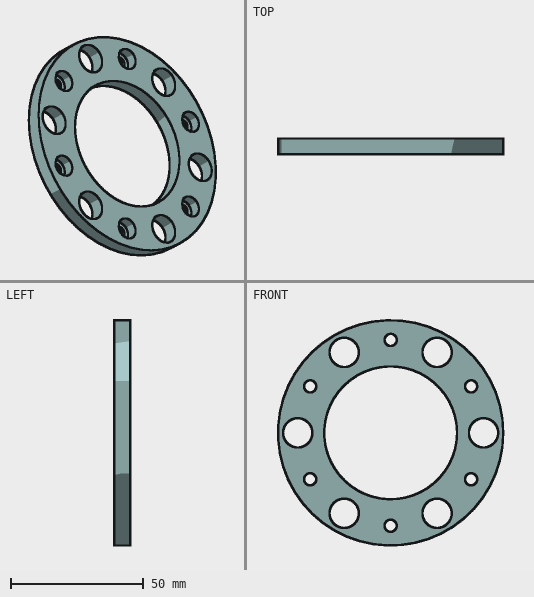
import cadquery as cq

outer_diameter = 85.0
bore_diameter = 50.0
thickness = 6.0

pitch_radius = 35.0
holes_per_set = 6
hole_spacing = 360 / holes_per_set

large_hole_diameter = 11.0

screw_hole_diameter = 4.5
counterbore_diameter = 8.0
seat_thickness = 1.45
counterbore_depth = thickness - seat_thickness


def hole_centers(body, start_angle):
    """Place one evenly spaced hole set on the +Y face."""
    face_plane = body.faces(">Y").workplane(origin=(0, 0, 0))
    return face_plane.polarArray(pitch_radius, start_angle, 360, holes_per_set)


ring = (
    cq.Workplane("XZ")
    .circle(outer_diameter / 2)
    .circle(bore_diameter / 2)
    .extrude(thickness)
)

ring = hole_centers(ring, 0).hole(large_hole_diameter)

result = hole_centers(ring, hole_spacing / 2).cboreHole(
    screw_hole_diameter, counterbore_diameter, counterbore_depth
)